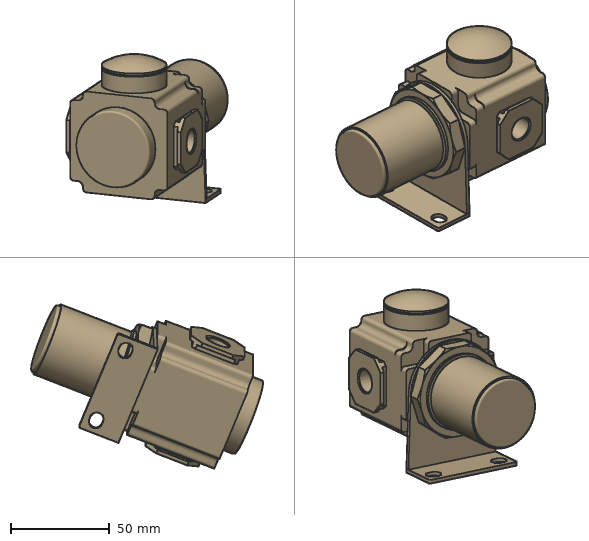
import cadquery as cq
import math


body_half = 26.5
body_rear = 21.0
body_front = -body_rear
edge_round = 2.0
step_fillet = 3.0
step_x = 19.5
body_step_z = 21.4
low_step_z = 21.0

bonnet_shoulder = 26.4
bonnet_rear = 31.0
bonnet_step_x = 13.0
bonnet_step_z = 14.0

cover_front = -29.5
cover_radius = 20.0
cover_fillet = 1.0

gauge_radius = 16.5
gauge_groove_radius = 16.4
gauge_groove_bottom = 35.2
gauge_groove_top = 36.0
gauge_dome_bottom = 37.0
gauge_top = 41.5

port_face = 31.2
port_width = 29.0
port_corner = 6.0
port_rim = 2.0
port_groove = 2.0
port_flare = 0.5
bore_diameter = 11.8
bore_depth = 13.4
bore_chamfer = 0.7

sheet = 2.0
bracket_top_radius = 25.1
foot_bottom = -41.0
foot_rear = 52.8
foot_corner = 1.0
slot_width = 6.8
slot_length = 8.3
slot_spacing = 39.5
slot_y = 45.9

nut_sides = 10
nut_corner_radius = 25.1
nut_rear = 40.0
nut_bevel = 1.0

collar_radius = 20.0
collar_rear = 41.5
neck_radius = 13.4
knob_front = 42.5
knob_radius = 19.0
knob_shoulder = 80.5
knob_rear = 82.5
knob_tip_radius = 18.1
knob_tip_fillet = 1.0

overlap = 2.2
cut_margin = 1.1


def section_plane(y):
    """Plane square to the main axis, with local x along X, local y along Z and its normal along -Y."""
    return cq.Workplane("XZ", origin=(0, y, 0))


def disc(radius, y_start, y_end):
    return section_plane(y_start).circle(radius).extrude(y_start - y_end)


def stepped_block(y_start, y_end, x_step, z_top, z_bottom):
    """Square block with a rounded step cut from each of its four long edges."""
    block = section_plane(y_end).rect(2 * body_half, 2 * body_half).extrude(y_end - y_start)
    for side_x in (-1, 1):
        for side_z, z_step in ((1, z_top), (-1, z_bottom)):
            block = block.cut(corner_step(y_start, y_end, x_step, z_step, side_x, side_z))
    return block


def corner_step(y_start, y_end, x_step, z_step, side_x, side_z):
    """Material removed at one corner: a convex round, a concave fillet, then another convex round."""
    diagonal = math.cos(math.pi / 4)

    def at(x, z):
        return (side_x * x, side_z * z)

    def convex(x, z):
        """Middle point of a convex round whose centre is (x, z)."""
        return at(x + edge_round * diagonal, z + edge_round * diagonal)

    inner = body_half - edge_round
    outer = body_half + cut_margin
    fillet_x = x_step + step_fillet
    fillet_z = z_step + step_fillet
    fillet_middle = at(fillet_x - step_fillet * diagonal, fillet_z - step_fillet * diagonal)
    outline = (
        section_plane(y_end)
        .moveTo(*at(x_step - edge_round, body_half))
        .threePointArc(convex(x_step - edge_round, inner), at(x_step, inner))
        .lineTo(*at(x_step, fillet_z))
        .threePointArc(fillet_middle, at(fillet_x, z_step))
        .lineTo(*at(inner, z_step))
        .threePointArc(convex(inner, z_step - edge_round), at(body_half, z_step - edge_round))
        .lineTo(*at(outer, z_step - edge_round))
        .lineTo(*at(outer, outer))
        .lineTo(*at(x_step - edge_round, outer))
        .close()
    )
    return outline.extrude(y_end - y_start)


def make_body():
    body = stepped_block(body_front, body_rear, step_x, body_step_z, low_step_z)
    bonnet = stepped_block(body_rear, bonnet_shoulder, step_x, low_step_z, low_step_z)
    shoulder = stepped_block(bonnet_shoulder, bonnet_rear, bonnet_step_x, bonnet_step_z, bonnet_step_z)
    return body.union(bonnet).union(shoulder)


def make_cover():
    cover = disc(cover_radius, cover_front, body_front + overlap)
    return cover.faces("<Y").edges().fillet(cover_fillet)


def make_gauge():
    """Round gauge with a shallow groove below its domed top."""
    rise = gauge_top - gauge_dome_bottom
    sphere_radius = (gauge_radius**2 + rise**2) / (2 * rise)
    sphere_centre = gauge_top - sphere_radius
    angle = math.asin(gauge_radius / sphere_radius) / 2
    dome_middle = (sphere_radius * math.sin(angle), sphere_centre + sphere_radius * math.cos(angle))
    profile = (
        cq.Workplane("XZ")
        .moveTo(0, body_half - overlap)
        .lineTo(gauge_radius, body_half - overlap)
        .lineTo(gauge_radius, gauge_groove_bottom)
        .lineTo(gauge_groove_radius, gauge_groove_bottom)
        .lineTo(gauge_groove_radius, gauge_groove_top)
        .lineTo(gauge_radius, gauge_groove_top)
        .lineTo(gauge_radius, gauge_dome_bottom)
        .threePointArc(dome_middle, (0, gauge_top))
        .close()
    )
    return profile.revolve(360, (0, 0, 0), (0, 1, 0))


def make_port():
    """Port on the +X side: octagonal flange with a groove behind each of its four long edges."""
    root = body_half - overlap
    port_half = port_width / 2
    port = cq.Workplane("YZ", origin=(root, 0, 0)).rect(port_width, port_width)
    port = port.extrude(port_face - root).edges("|X").chamfer(port_corner)
    rim_back = port_face - port_rim
    floor = port_half - port_groove
    groove = (
        cq.Workplane("XZ")
        .moveTo(body_half, floor)
        .lineTo(rim_back - port_flare, floor)
        .lineTo(rim_back, port_half)
        .lineTo(rim_back, port_half + cut_margin)
        .lineTo(body_half, port_half + cut_margin)
        .close()
        .extrude(port_half + cut_margin, both=True)
    )
    for quarter in range(4):
        port = port.cut(groove.rotate((0, 0, 0), (1, 0, 0), 90 * quarter))
    return port


def make_bore():
    """Blind port bore on the +X side with a chamfered mouth."""
    bore_radius = bore_diameter / 2
    bore = cq.Workplane("YZ", origin=(port_face, 0, 0)).circle(bore_radius).extrude(-bore_depth)
    mouth = cq.Solid.makeCone(
        bore_radius + bore_chamfer, bore_radius, bore_chamfer, cq.Vector(port_face, 0, 0), cq.Vector(-1, 0, 0)
    )
    return bore.union(cq.Workplane(mouth))


def make_bracket():
    """Upright sheet with a round top and sides tangent to it, and a slotted foot."""
    corner_distance = math.hypot(body_half, foot_bottom)
    tangent_angle = math.atan2(foot_bottom, body_half) + math.acos(bracket_top_radius / corner_distance)
    tangent_x = bracket_top_radius * math.cos(tangent_angle)
    tangent_z = bracket_top_radius * math.sin(tangent_angle)
    back = bonnet_rear + sheet
    upright = (
        section_plane(back)
        .moveTo(-body_half, foot_bottom)
        .lineTo(body_half, foot_bottom)
        .lineTo(tangent_x, tangent_z)
        .threePointArc((0, bracket_top_radius), (-tangent_x, tangent_z))
        .close()
        .extrude(sheet)
    )
    foot = (
        cq.Workplane("XY", origin=(0, bonnet_rear, foot_bottom))
        .box(2 * body_half, foot_rear - bonnet_rear, sheet, centered=(True, False, False))
        .edges("|Z and >Y")
        .fillet(foot_corner)
    )
    slots = (
        cq.Workplane("XY", origin=(0, slot_y, foot_bottom))
        .rarray(slot_spacing, 1.1, 2, 1)
        .slot2D(slot_length, slot_width)
        .extrude(sheet)
    )
    return upright.union(foot.cut(slots))


def make_nut():
    """Decagonal nut whose rear corners are bevelled by turning."""
    front = bonnet_rear + sheet
    nut = section_plane(front).polygon(nut_sides, 2 * nut_corner_radius).extrude(front - nut_rear)
    flat_radius = nut_corner_radius * math.cos(math.pi / nut_sides)
    bevel_start = nut_rear - nut_bevel
    bevel = cq.Solid.makeCone(
        nut_corner_radius, flat_radius, nut_bevel, cq.Vector(0, bevel_start, 0), cq.Vector(0, 1, 0)
    )
    turned = disc(nut_corner_radius, front, bevel_start).union(cq.Workplane(bevel))
    return nut.intersect(turned)


def make_knob():
    collar = disc(collar_radius, nut_rear - overlap, collar_rear)
    neck = disc(neck_radius, collar_rear - overlap, knob_front + overlap)
    grip = disc(knob_radius, knob_front, knob_shoulder)
    tip = disc(knob_tip_radius, knob_shoulder - overlap, knob_rear)
    tip = tip.faces(">Y").edges().fillet(knob_tip_fillet)
    return collar.union(neck).union(grip).union(tip)


result = make_body().union(make_cover()).union(make_gauge())
result = result.union(make_bracket()).union(make_nut()).union(make_knob())
port = make_port()
bore = make_bore()
for turn in (0, 180):
    result = result.union(port.rotate((0, 0, 0), (0, 0, 1), turn))
    result = result.cut(bore.rotate((0, 0, 0), (0, 0, 1), turn))